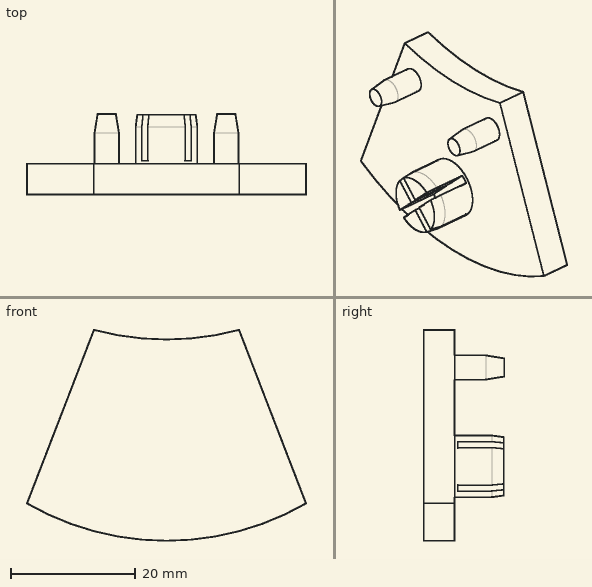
import cadquery as cq
import math

bottom_width = 45.0
top_width = 23.4
overall_height = 34.0
edge_radius = 45.0
plate_thickness = 5.0

boss_radius = 5.0
boss_tip_radius = 4.72
boss_length = 7.9
boss_taper_length = 2.0
boss_drop = 22.0
slot_width = 1.35
slot_floor = 0.5
slot_angles = (45, -45)

pin_radius = 2.0
pin_tip_radius = 1.5
pin_length = 8.0
pin_taper_length = 3.0
pin_spacing = 19.25
pin_drop = 6.08


def arc_sag(chord):
    """Depth of an edge arc below its chord."""
    return edge_radius - math.sqrt(edge_radius**2 - (chord / 2) ** 2)


def make_plate():
    """Sector plate from Y = 0 to its back face at Y = plate_thickness."""
    top_z = boss_drop
    low_z = top_z - overall_height
    corner_z = low_z + arc_sag(bottom_width)
    outline = (
        cq.Workplane("XZ")
        .moveTo(-top_width / 2, top_z)
        .threePointArc((0, top_z - arc_sag(top_width)), (top_width / 2, top_z))
        .lineTo(bottom_width / 2, corner_z)
        .threePointArc((0, low_z), (-bottom_width / 2, corner_z))
        .close()
    )
    return outline.extrude(-plate_thickness)


def make_tapered_peg(radius, tip_radius, length, taper_length):
    """Peg with a conical tip, rooted at Y = 0 and standing out of the plate by length."""
    end_y = plate_thickness + length
    return (
        cq.Workplane("XY")
        .moveTo(0, 0)
        .lineTo(radius, 0)
        .lineTo(radius, end_y - taper_length)
        .lineTo(tip_radius, end_y)
        .lineTo(0, end_y)
        .close()
        .revolve(360, (0, 0, 0), (0, 1, 0))
    )


def make_split_boss():
    """Tapered boss split into four by two crossed diagonal slots."""
    boss = make_tapered_peg(boss_radius, boss_tip_radius, boss_length, boss_taper_length)
    slot_length = 3 * boss_radius
    slot = (
        cq.Workplane("XY")
        .box(slot_length, boss_length, slot_width, centered=(True, False, True))
        .translate((0, plate_thickness + slot_floor, 0))
    )
    for angle in slot_angles:
        boss = boss.cut(slot.rotate((0, 0, 0), (0, 1, 0), angle))
    return boss


result = make_plate().union(make_split_boss())

pin = make_tapered_peg(pin_radius, pin_tip_radius, pin_length, pin_taper_length)
for side in (-1, 1):
    pin_position = (side * pin_spacing / 2, 0, boss_drop - pin_drop)
    result = result.union(pin.translate(pin_position))